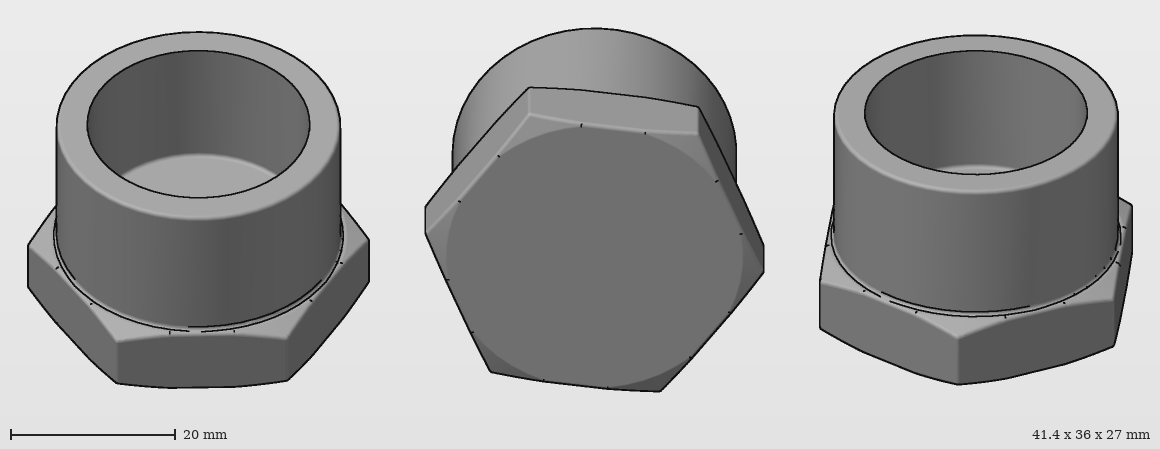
import cadquery as cq
import math

width_across_corners = 41.4
total_height = 27.0
edge_radius = 0.5

hex_height = 9.0
chamfer_start_radius = 18.0
chamfer_angle = 20.0

barrel_diameter = 34.5
bore_diameter = 27.0
bore_floor_height = 10.02

corner_pull_in = edge_radius * (1 / math.cos(math.radians(30)) - 1)
sharp_corner_radius = width_across_corners / 2 + corner_pull_in
apothem = sharp_corner_radius * math.cos(math.radians(30))
barrel_radius = barrel_diameter / 2

flat_round_center_radius = apothem - edge_radius
flat_round_center_height = hex_height - edge_radius
root_center_radius = barrel_radius + edge_radius
root_offset = root_center_radius - flat_round_center_radius
root_center_height = flat_round_center_height + math.sqrt((2 * edge_radius) ** 2 - root_offset**2)
root_contact_radius = (root_center_radius + flat_round_center_radius) / 2
root_contact_height = (root_center_height + flat_round_center_height) / 2


def hex_base():
    """Hexagon with conical corner chamfers at both ends and every edge rounded."""
    prism = cq.Workplane("XY").polygon(6, 2 * sharp_corner_radius).extrude(hex_height)
    chamfer_run = sharp_corner_radius - chamfer_start_radius
    chamfer_drop = chamfer_run * math.tan(math.radians(chamfer_angle))
    chamfer_envelope = (
        cq.Workplane("XY")
        .circle(sharp_corner_radius)
        .extrude(hex_height)
        .faces("<Z or >Z")
        .chamfer(chamfer_drop, chamfer_run)
    )
    return prism.intersect(chamfer_envelope).edges().fillet(edge_radius)


def barrel():
    """Round barrel with a rounded top rim, flaring out at its root onto the hexagon."""
    contact_angle = 180 + math.degrees(math.acos(root_offset / (2 * edge_radius)))
    root_arc_middle_angle = math.radians((180 + contact_angle) / 2)
    root_arc_middle = (
        root_center_radius + edge_radius * math.cos(root_arc_middle_angle),
        root_center_height + edge_radius * math.sin(root_arc_middle_angle),
    )
    arc_middle_inset = edge_radius * (1 - math.sqrt(0.5))
    rim_arc_middle = (barrel_radius - arc_middle_inset, total_height - arc_middle_inset)
    profile = (
        cq.Workplane("XZ")
        .moveTo(0, flat_round_center_height)
        .lineTo(flat_round_center_radius, flat_round_center_height)
        .lineTo(root_contact_radius, root_contact_height)
        .threePointArc(root_arc_middle, (barrel_radius, root_center_height))
        .lineTo(barrel_radius, total_height - edge_radius)
        .threePointArc(rim_arc_middle, (barrel_radius - edge_radius, total_height))
        .lineTo(0, total_height)
        .close()
    )
    return profile.revolve(360, (0, 0, 0), (0, 1, 0))


def bore():
    """Blind bore from the top with a rounded corner around its floor."""
    return (
        cq.Workplane("XY", origin=(0, 0, bore_floor_height))
        .circle(bore_diameter / 2)
        .extrude(total_height - bore_floor_height)
        .faces("<Z")
        .edges()
        .fillet(edge_radius)
    )


result = hex_base().union(barrel()).cut(bore())